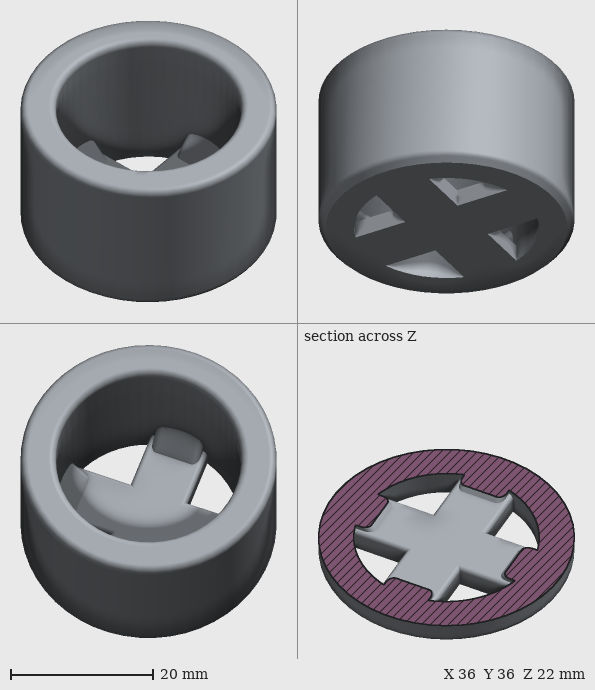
import cadquery as cq
import math

outer_diameter = 36.0
height = 22.0
bore_diameter = 26.0
edge_radius = 1.0
bottom_inset = 1.0

arm_width = 8.5
arm_edge_radius = 0.7
floor_thickness = 3.0

gusset_width = 7.05
gusset_edge_radius = 0.97
gusset_toe = 9.95
gusset_slope = 45.0

outer_radius = outer_diameter / 2
bore_radius = bore_diameter / 2
embed_radius = (outer_radius + bore_radius) / 2


def make_ring():
    """Revolve the wall section, rounded on top and coned at the base."""
    diagonal = math.sqrt(0.5)
    arc_inset = edge_radius * (1 - diagonal)
    cone_height = bottom_inset - arc_inset
    shoulder_height = cone_height + edge_radius * diagonal
    arc_mid = math.radians(22.5)
    arc_center_x = outer_radius - edge_radius
    top_arc_z = height - edge_radius
    diagonal_reach = edge_radius * diagonal
    section = (
        cq.Workplane("XZ")
        .moveTo(bore_radius, 0)
        .lineTo(outer_radius - bottom_inset, 0)
        .lineTo(outer_radius - arc_inset, cone_height)
        .threePointArc(
            (
                arc_center_x + edge_radius * math.cos(arc_mid),
                shoulder_height - edge_radius * math.sin(arc_mid),
            ),
            (outer_radius, shoulder_height),
        )
        .lineTo(outer_radius, top_arc_z)
        .threePointArc(
            (arc_center_x + diagonal_reach, top_arc_z + diagonal_reach),
            (arc_center_x, height),
        )
        .lineTo(bore_radius + edge_radius, height)
        .threePointArc(
            (bore_radius + edge_radius - diagonal_reach, top_arc_z + diagonal_reach),
            (bore_radius, top_arc_z),
        )
        .close()
    )
    return section.revolve(360, (0, 0, 0), (0, 1, 0))


def make_cross():
    """Two crossing arms with their long upper edges rounded."""
    arm = (
        cq.Workplane("XY")
        .box(2 * embed_radius, arm_width, floor_thickness, centered=(True, True, False))
        .edges("|X and >Z")
        .fillet(arm_edge_radius)
    )
    return arm.union(arm.rotate((0, 0, 0), (0, 0, 1), 90))


def make_gusset():
    """Wedge along +X, with the two edges of its sloped face rounded."""
    rise = (embed_radius - gusset_toe) * math.tan(math.radians(gusset_slope))
    buried_depth = floor_thickness / 2
    buried_toe = gusset_toe - buried_depth / math.tan(math.radians(gusset_slope))
    bottom = floor_thickness - buried_depth
    wedge = (
        cq.Workplane("XZ")
        .polyline([
            (buried_toe, bottom),
            (embed_radius, bottom),
            (embed_radius, floor_thickness + rise),
        ])
        .close()
        .extrude(gusset_width / 2, both=True)
    )
    slope_sides = wedge.edges("not (|X or |Y or |Z)")
    return slope_sides.fillet(gusset_edge_radius)


result = make_ring().union(make_cross())
gusset = make_gusset()
for angle in range(0, 360, 90):
    result = result.union(gusset.rotate((0, 0, 0), (0, 0, 1), angle))